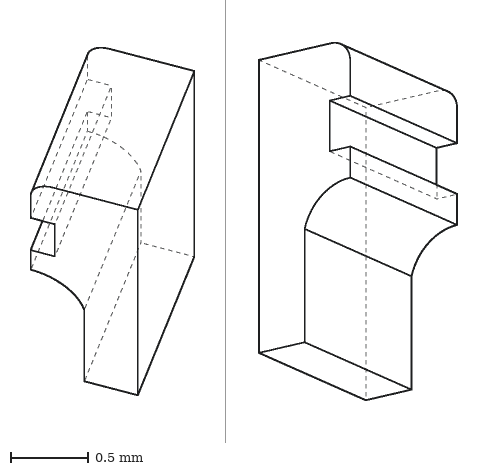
import cadquery as cq

depth = 0.73
width = 1.18
height = 2.0

top_round = 0.152
slot_depth = 0.165
slot_bottom = 1.265
slot_top = 1.61
nose_bottom = 1.052

leg_setback = 0.365
leg_top = 0.775

cove_drop = nose_bottom - leg_top
cove_radius = (leg_setback**2 + cove_drop**2) / (2 * cove_drop)

profile = (
    cq.Workplane("XZ", origin=(-depth / 2, 0, -height / 2))
    .moveTo(leg_setback, 0)
    .lineTo(depth, 0)
    .lineTo(depth, height)
    .lineTo(top_round, height)
    .radiusArc((0, height - top_round), -top_round)
    .lineTo(0, slot_top)
    .lineTo(slot_depth, slot_top)
    .lineTo(slot_depth, slot_bottom)
    .lineTo(0, slot_bottom)
    .lineTo(0, nose_bottom)
    .radiusArc((leg_setback, leg_top), cove_radius)
    .close()
)

result = profile.extrude(width / 2, both=True)